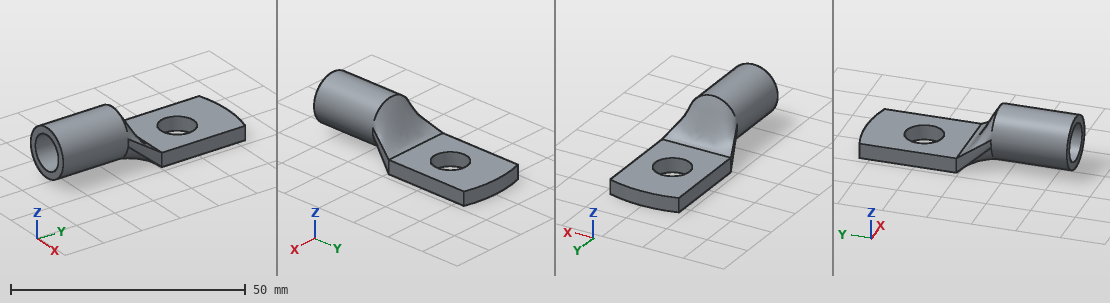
import cadquery as cq
import math

total_length = 47.0
tongue_width = 17.0
total_height = 13.0

barrel_diameter = 12.05
bore_diameter = 8.5
barrel_length = 17.0
axis_height = total_height - barrel_diameter / 2

tongue_thickness = 3.5
neck_length = 6.95
side_rise = 0.7
side_drop = 1.15
neck_steps = 4
end_bow = 1.25
hole_diameter = 8.45
hole_to_end = 13.0

neck_start = barrel_length
neck_end = neck_start + neck_length
corner_y = total_length - end_bow
hole_y = total_length - hole_to_end


def section_plane(y, z):
    """Plane across the lug whose normal points along +Y."""
    return cq.Plane(origin=(0, y, z), xDir=(-1, 0, 0), normal=(0, 1, 0))


def make_barrel():
    return cq.Workplane(section_plane(0, axis_height)).circle(barrel_diameter / 2).extrude(barrel_length)


def blend(flat_value, round_value, fraction):
    return flat_value + (round_value - flat_value) * fraction


def neck_section(fraction):
    """Neck outline, with fraction 0 at the flat tongue and 1 at the round barrel."""
    radius = barrel_diameter / 2
    y = blend(neck_end, neck_start, fraction)

    upper_x = blend(tongue_width / 2, math.sqrt(radius**2 - side_rise**2), fraction)
    upper_z = blend(tongue_thickness, axis_height + side_rise, fraction)
    lower_x = blend(tongue_width / 2, math.sqrt(radius**2 - side_drop**2), fraction)
    lower_z = blend(0, axis_height - side_drop, fraction)
    side_x = blend(tongue_width / 2, radius, fraction)
    side_z = blend(tongue_thickness / 2, axis_height, fraction)

    crown_fraction = 2 * fraction**2 - fraction**3
    crown_z = blend(tongue_thickness, axis_height + radius, crown_fraction)
    belly_z = blend(0, axis_height - radius, fraction)

    def point(x, z):
        return cq.Vector(x, y, z)

    def edge(start, middle, end):
        if fraction == 0:
            return cq.Edge.makeLine(start, end)
        return cq.Edge.makeThreePointArc(start, middle, end)

    upper_left = point(-upper_x, upper_z)
    upper_right = point(upper_x, upper_z)
    lower_left = point(-lower_x, lower_z)
    lower_right = point(lower_x, lower_z)
    return cq.Wire.assembleEdges(
        [
            edge(upper_left, point(0, crown_z), upper_right),
            edge(upper_right, point(side_x, side_z), lower_right),
            edge(lower_right, point(0, belly_z), lower_left),
            edge(lower_left, point(-side_x, side_z), upper_left),
        ]
    )


def make_neck():
    """Blend from the rectangular tongue to the round barrel."""
    sections = [neck_section(step / neck_steps) for step in range(neck_steps + 1)]
    return cq.Workplane(cq.Solid.makeLoft(sections))


def make_tongue():
    half_width = tongue_width / 2
    return (
        cq.Workplane("XY")
        .moveTo(-half_width, neck_end)
        .lineTo(half_width, neck_end)
        .lineTo(half_width, corner_y)
        .threePointArc((0, total_length), (-half_width, corner_y))
        .close()
        .extrude(tongue_thickness)
    )


bore = cq.Workplane(section_plane(0, axis_height)).circle(bore_diameter / 2).extrude(barrel_length)
bolt_hole = cq.Workplane("XY").center(0, hole_y).circle(hole_diameter / 2).extrude(tongue_thickness)

result = make_barrel().union(make_neck()).union(make_tongue()).cut(bore).cut(bolt_hole)